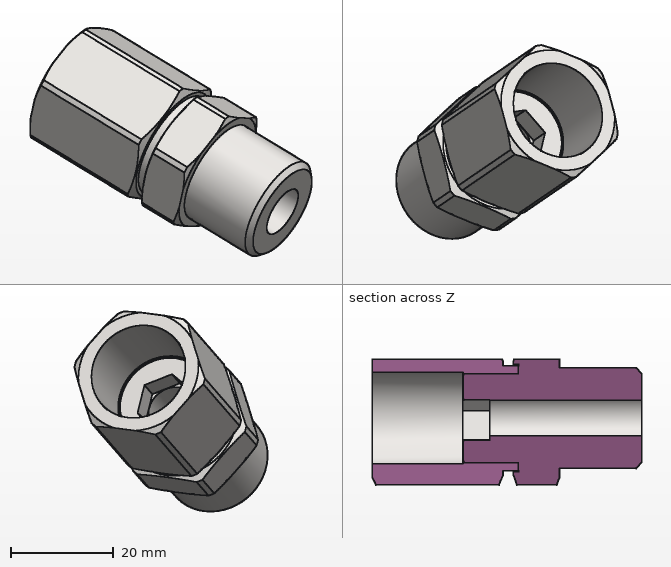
import cadquery as cq
import math

TOTAL_LENGTH = 52.4
NUT_LENGTH = 25.45
BODY_HEX_START = 27.4
BODY_HEX_END = 36.4

HEX_FLATS = 24.0
HEX_CORNER_DIAMETER = 27.05
HEX_CORNER_ANGLE = 13.8

OUTWARD_FACE_DIAMETER = 24.4
INWARD_FACE_DIAMETER = 23.35
NUT_OPEN_CHAMFER = 0.75
NUT_NECK_CHAMFER = 0.8
BODY_RECESS_CHAMFER = 0.7
BODY_MALE_CHAMFER = 0.5

BORE_DIAMETER = 19.1
SPIGOT_DIAMETER = 18.7
SPIGOT_LENGTH = 7.85
SPIGOT_CHAMFER = 0.2

NECK_DIAMETER = 21.8
RECESS_DIAMETER = 22.1
RECESS_DEPTH = 1.05

MALE_DIAMETER = 20.95
MALE_END_CHAMFER = 1.1
PASSAGE_DIAMETER = 10.0
SOCKET_FLATS = 10.1
SOCKET_DEPTH = 5.25
SOCKET_CORNER_ANGLE = HEX_CORNER_ANGLE + 30.0

SPIGOT_START = NUT_LENGTH - SPIGOT_LENGTH
RECESS_FLOOR = BODY_HEX_START + RECESS_DEPTH


def cylinder(diameter, start, end):
    """Solid cylinder on the X axis between two stations."""
    return cq.Workplane("YZ", origin=(start, 0, 0)).circle(diameter / 2).extrude(end - start)


def hex_prism(flats, corner_angle, start, end):
    """Hexagonal prism on the X axis; corner_angle is measured from +Y towards +Z."""
    corner_circle = flats / math.cos(math.radians(30))
    prism = cq.Workplane("YZ", origin=(start, 0, 0)).polygon(6, corner_circle).extrude(end - start)
    return prism.rotate((0, 0, 0), (1, 0, 0), corner_angle)


def wrench_hex(start, end, start_face, start_chamfer, end_face, end_chamfer):
    """Hexagon with corners turned to a cylinder and both ends chamfered conically.

    Each end has its own face diameter and axial chamfer length.
    """
    outer_radius = HEX_CORNER_DIAMETER / 2
    turned_blank = (
        cq.Workplane("XY")
        .moveTo(start, 0)
        .lineTo(start, start_face / 2)
        .lineTo(start + start_chamfer, outer_radius)
        .lineTo(end - end_chamfer, outer_radius)
        .lineTo(end, end_face / 2)
        .lineTo(end, 0)
        .close()
        .revolve(360, (0, 0, 0), (1, 0, 0))
    )
    return turned_blank.intersect(hex_prism(HEX_FLATS, HEX_CORNER_ANGLE, start, end))


def make_nut():
    """Hexagonal nut with a round neck, whose bore narrows to a seat around the spigot."""
    bore = cylinder(BORE_DIAMETER, 0, SPIGOT_START)
    seat = cylinder(SPIGOT_DIAMETER, SPIGOT_START, RECESS_FLOOR)
    neck = cylinder(NECK_DIAMETER, NUT_LENGTH, RECESS_FLOOR)
    hexagon = wrench_hex(
        0, NUT_LENGTH,
        OUTWARD_FACE_DIAMETER, NUT_OPEN_CHAMFER,
        INWARD_FACE_DIAMETER, NUT_NECK_CHAMFER,
    )
    return hexagon.union(neck).cut(bore).cut(seat)


def make_body():
    """Male body: spigot, recessed hexagon and chamfered round end, with a socketed passage."""
    spigot = cylinder(SPIGOT_DIAMETER, SPIGOT_START, RECESS_FLOOR).faces("<X").chamfer(SPIGOT_CHAMFER)
    recess = cylinder(RECESS_DIAMETER, BODY_HEX_START, RECESS_FLOOR)
    hexagon = wrench_hex(
        BODY_HEX_START, BODY_HEX_END,
        INWARD_FACE_DIAMETER, BODY_RECESS_CHAMFER,
        OUTWARD_FACE_DIAMETER, BODY_MALE_CHAMFER,
    )
    male_end = cylinder(MALE_DIAMETER, BODY_HEX_END, TOTAL_LENGTH).faces(">X").chamfer(MALE_END_CHAMFER)
    passage = cylinder(PASSAGE_DIAMETER, SPIGOT_START, TOTAL_LENGTH)
    socket = hex_prism(SOCKET_FLATS, SOCKET_CORNER_ANGLE, SPIGOT_START, SPIGOT_START + SOCKET_DEPTH)
    return hexagon.cut(recess).union(spigot).union(male_end).cut(passage).cut(socket)


nut = make_nut()
body = make_body()

result = cq.Compound.makeCompound([nut.val(), body.val()])